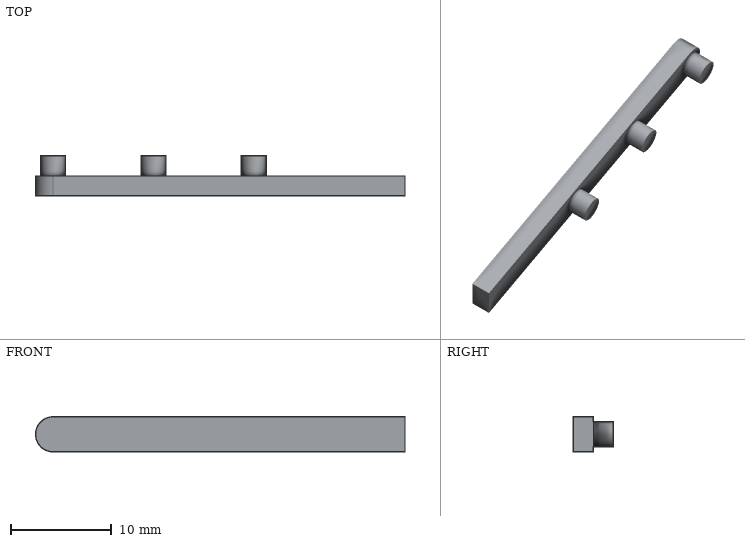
import cadquery as cq

bar_length = 36.65
bar_height = 3.5
bar_thickness = 2.0
end_radius = bar_height / 2

pin_diameter = 2.5
pin_length = 2.0
pin_spacing = 9.95
pin_count = 3

square_end_x = bar_length - end_radius


def extrude_back(profile, depth):
    """Extrude an XZ profile toward +Y."""
    return profile.extrude(-depth)


def make_bar():
    profile = (
        cq.Workplane("XZ")
        .moveTo(0, end_radius)
        .lineTo(square_end_x, end_radius)
        .lineTo(square_end_x, -end_radius)
        .lineTo(0, -end_radius)
        .threePointArc((-end_radius, 0), (0, end_radius))
        .close()
    )
    return extrude_back(profile, bar_thickness)


def make_pins():
    centres = [(i * pin_spacing, 0) for i in range(pin_count)]
    profile = cq.Workplane("XZ").pushPoints(centres).circle(pin_diameter / 2)
    return extrude_back(profile, bar_thickness + pin_length)


result = make_bar().union(make_pins()).clean()